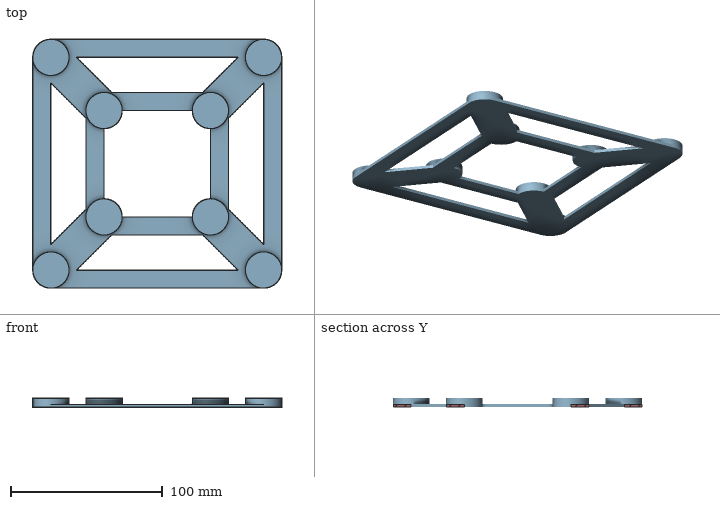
import cadquery as cq

side = 164.0
pad_diameter = 24.0
total_height = 6.0
plate_thickness = 2.0

pad_radius = pad_diameter / 2
outer_offset = side / 2 - pad_radius
inner_offset = outer_offset / 2
rail_width = pad_radius
spoke_width = pad_diameter
corner_signs = [(1, 1), (-1, 1), (-1, -1), (1, -1)]


def plate_block(length, width):
    """Flat block centred on the origin, standing on the base plane."""
    return cq.Workplane("XY").box(length, width, plate_thickness, centered=(True, True, False))


def square_frame(offset):
    """Four rails whose inner edges join the pad centres of one square."""
    frame = cq.Workplane("XY")
    for sign in (1, -1):
        rail_center = sign * (offset + rail_width / 2)
        rail = plate_block(2 * offset, rail_width).translate((0, rail_center, 0))
        frame = frame.add(rail).add(rail.rotate((0, 0, 0), (0, 0, 1), 90))
    return frame.combine()


def spoke(x_sign, y_sign):
    """Diagonal strip from an inner pad centre to the matching outer pad centre."""
    length = (outer_offset - inner_offset) * 2**0.5
    middle = (outer_offset + inner_offset) / 2
    strip = plate_block(length, spoke_width).rotate((0, 0, 0), (0, 0, 1), 45 * x_sign * y_sign)
    return strip.translate((x_sign * middle, y_sign * middle, 0))


def pads(offset):
    """Full-height round pads on the four corners of one square."""
    centers = [(x_sign * offset, y_sign * offset) for x_sign, y_sign in corner_signs]
    return cq.Workplane("XY").pushPoints(centers).circle(pad_radius).extrude(total_height)


result = pads(outer_offset).union(pads(inner_offset))
for x_sign, y_sign in corner_signs:
    result = result.union(spoke(x_sign, y_sign))
for offset in (outer_offset, inner_offset):
    result = result.union(square_frame(offset))